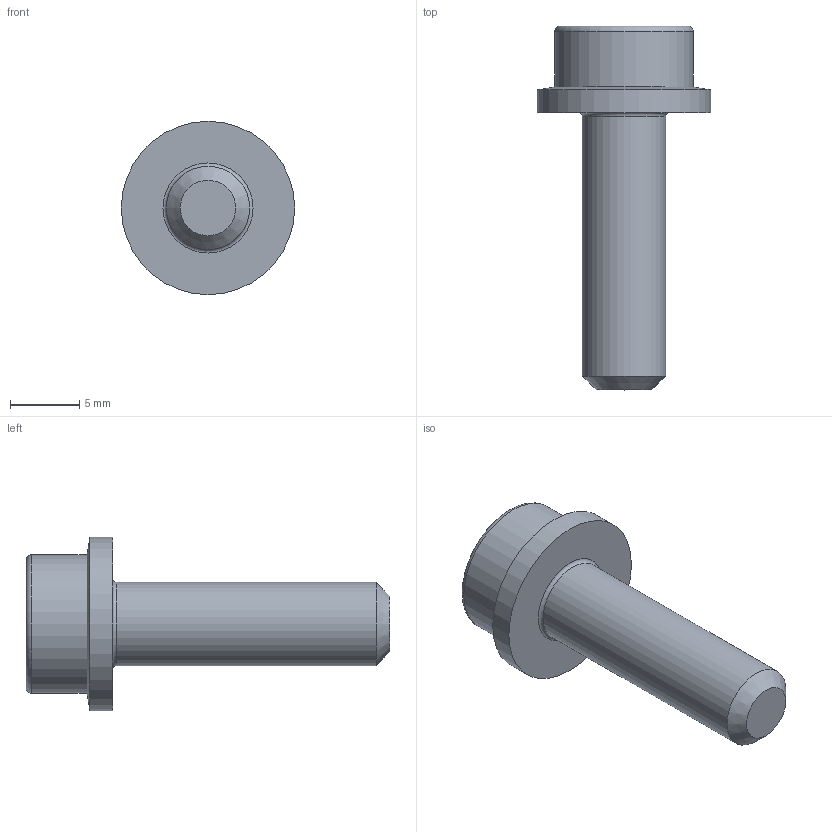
import math

import cadquery as cq

shank_diameter = 6.0
shank_length = 20.0
tip_chamfer = 1.0
seat_fillet = 0.25

flange_diameter = 12.5
flange_rim_thickness = 1.65
flange_thickness = 1.85

head_diameter = 10.0
head_height = 6.25
head_fillet = 0.4

seat_mid_angle = 135
head_mid_angle = 45

shank_radius = shank_diameter / 2
flange_radius = flange_diameter / 2
head_radius = head_diameter / 2


def arc_point(center_x, center_y, radius, angle_deg):
    """Point on a fillet arc, at the given angle about the arc center."""
    angle = math.radians(angle_deg)
    return (center_x + radius * math.cos(angle), center_y + radius * math.sin(angle))


def half_profile():
    """Closed radial section in the XY plane, from the shank tip up to the head."""
    seat_arc_x = shank_radius + seat_fillet
    head_arc_x = head_radius - head_fillet
    head_arc_y = head_height - head_fillet
    seat_mid = arc_point(seat_arc_x, -seat_fillet, seat_fillet, seat_mid_angle)
    head_mid = arc_point(head_arc_x, head_arc_y, head_fillet, head_mid_angle)
    return (
        cq.Workplane("XY")
        .moveTo(0, -shank_length)
        .lineTo(shank_radius - tip_chamfer, -shank_length)
        .lineTo(shank_radius, -shank_length + tip_chamfer)
        .lineTo(shank_radius, -seat_fillet)
        .threePointArc(seat_mid, (seat_arc_x, 0))
        .lineTo(flange_radius, 0)
        .lineTo(flange_radius, flange_rim_thickness)
        .lineTo(head_radius, flange_thickness)
        .lineTo(head_radius, head_arc_y)
        .threePointArc(head_mid, (head_arc_x, head_height))
        .lineTo(0, head_height)
        .close()
    )


result = half_profile().revolve(360, (0, 0, 0), (0, 1, 0))